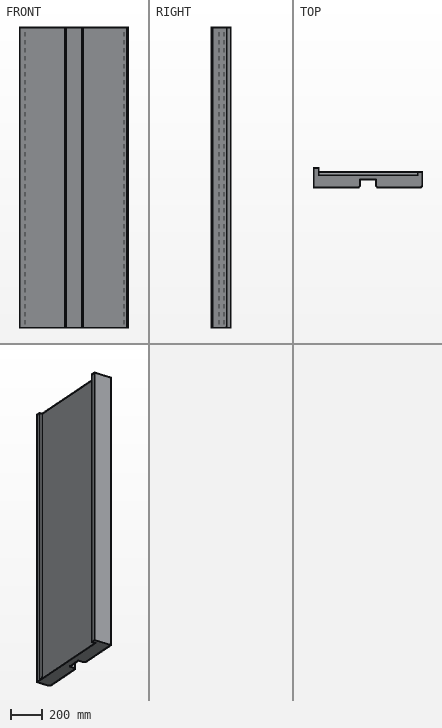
import cadquery as cq
import math

width = 696.0
depth = 126.5
height = 1920.0

left_lip_width = 34.0
right_lip_width = 30.0
lip_step = 26.5
recess_depth = 20.0
runout_radius = 45.0

groove_width = 100.0
groove_depth = 50.0
chamfer = 10.0

left = -width / 2
right = width / 2
front = -depth / 2
rear = depth / 2
bottom = -height / 2
low_lip_rear = rear - lip_step
recess_floor = low_lip_rear - recess_depth
recess_left = left + left_lip_width
recess_right = right - right_lip_width


def extrude_plan(outline):
    """Extrude a closed plan outline over the full height of the panel."""
    return cq.Workplane("XY").workplane(offset=bottom).polyline(outline).close().extrude(height)


def make_panel():
    """Panel body with its two rear lips and the recess running between them."""
    return extrude_plan([
        (left, front),
        (right, front),
        (right, low_lip_rear),
        (recess_right, low_lip_rear),
        (recess_right, recess_floor),
        (recess_left, recess_floor),
        (recess_left, rear),
        (left, rear),
    ])


def make_recess_runout():
    """Concave sill that sweeps the recess floor out to the low lip at the bottom."""
    rise = math.sqrt(runout_radius**2 - (runout_radius - recess_depth) ** 2)
    return (
        cq.Workplane("YZ")
        .workplane(offset=recess_left)
        .moveTo(recess_floor, bottom)
        .lineTo(low_lip_rear, bottom)
        .radiusArc((recess_floor, bottom + rise), runout_radius)
        .close()
        .extrude(recess_right - recess_left)
    )


def make_groove():
    """Rectangular front groove whose mouth is flared by a chamfer on each side."""
    half = groove_width / 2
    return extrude_plan([
        (-half - chamfer, front),
        (-half, front + chamfer),
        (-half, front + groove_depth),
        (half, front + groove_depth),
        (half, front + chamfer),
        (half + chamfer, front),
    ])


def make_right_edge_chamfer():
    """Wedge that bevels the front right vertical edge."""
    return extrude_plan([
        (right - chamfer, front),
        (right, front),
        (right, front + chamfer),
    ])


body = make_panel().union(make_recess_runout())
result = body.cut(make_groove()).cut(make_right_edge_chamfer())